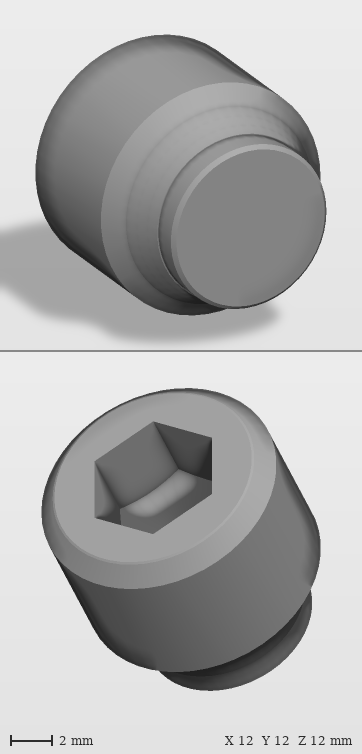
import cadquery as cq
import math

length = 12.0
body_radius = 6.0
body_end = 7.8
chamfer = 0.9

face_radius = 5.04
rim_radius = 5.15
rim_depth = 0.06

neck_start = body_end + chamfer
neck_start_radius = body_radius - chamfer
neck_end = 10.5
neck_end_radius = 4.32
neck_mid = (neck_start + neck_end) / 2
neck_mid_radius = 4.65

point_radius = 4.25
point_chamfer = 0.2

socket_flats = 6.0
socket_depth = 3.96
socket_tip_angle = 120.0
socket_corner_radius = socket_flats / 2 / math.cos(math.radians(30))


def make_body():
    """Revolve the outer profile about the X axis."""
    return (
        cq.Workplane("XY")
        .lineTo(0, face_radius)
        .lineTo(rim_depth, rim_radius)
        .lineTo(chamfer, body_radius)
        .lineTo(body_end, body_radius)
        .lineTo(neck_start, neck_start_radius)
        .threePointArc((neck_mid, neck_mid_radius), (neck_end, neck_end_radius))
        .lineTo(neck_end, point_radius)
        .lineTo(length - point_chamfer, point_radius)
        .lineTo(length, point_radius - point_chamfer)
        .lineTo(length, 0)
        .close()
        .revolve(360, (0, 0, 0), (1, 0, 0))
    )


def make_socket():
    """Hexagonal prism, corners up and down, trimmed by a drill-shaped cone."""
    cone_height = socket_corner_radius / math.tan(math.radians(socket_tip_angle / 2))
    corners = [
        (socket_corner_radius * math.sin(math.radians(60 * i)),
         socket_corner_radius * math.cos(math.radians(60 * i)))
        for i in range(6)
    ]
    hexagon = cq.Workplane("YZ").polyline(corners).close().extrude(socket_depth + cone_height)
    drill = (
        cq.Workplane("XY")
        .lineTo(0, socket_corner_radius)
        .lineTo(socket_depth, socket_corner_radius)
        .lineTo(socket_depth + cone_height, 0)
        .close()
        .revolve(360, (0, 0, 0), (1, 0, 0))
    )
    return hexagon.intersect(drill)


result = make_body().cut(make_socket())